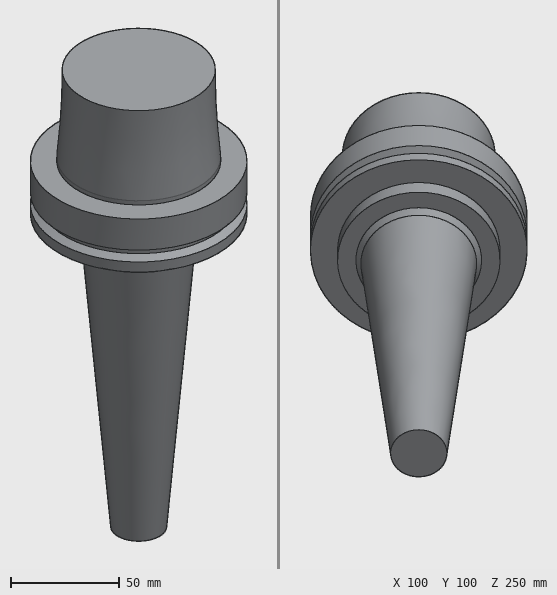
import cadquery as cq

total_height = 250.0
flange_top = 200.0
flange_bottom = flange_top - 29.0
collar_bottom = flange_bottom - 8.2
neck_top = collar_bottom - 3.0

flange_radius = 100.0 / 2
groove_radius = 92.0 / 2
collar_radius = 75.0 / 2
shank_base_radius = 75.8 / 2
shank_top_radius = 70.8 / 2
neck_flare_radius = 58.0 / 2
neck_top_radius = 53.5 / 2
tip_radius = 26.0 / 2

groove_top = flange_top - 17.0
groove_width = 6.5
groove_bottom = groove_top - groove_width
groove_wall_height = 2.0

shank_base_height = 2.2
taper_bottom = flange_top + shank_base_height
taper_height = total_height - taper_bottom
taper_middle = taper_bottom + taper_height / 2
taper_middle_radius = shank_top_radius + (shank_base_radius - shank_top_radius) / 4

half_section = (
    cq.Workplane("XZ")
    .moveTo(0, 0)
    .lineTo(tip_radius, 0)
    .lineTo(neck_top_radius, neck_top)
    .lineTo(neck_flare_radius, collar_bottom)
    .lineTo(collar_radius, collar_bottom)
    .lineTo(collar_radius, flange_bottom)
    .lineTo(flange_radius, flange_bottom)
    .lineTo(flange_radius, groove_bottom)
    .lineTo(groove_radius, groove_bottom + groove_wall_height)
    .lineTo(groove_radius, groove_top - groove_wall_height)
    .lineTo(flange_radius, groove_top)
    .lineTo(flange_radius, flange_top)
    .lineTo(shank_base_radius, flange_top)
    .lineTo(shank_base_radius, taper_bottom)
    .threePointArc((taper_middle_radius, taper_middle), (shank_top_radius, total_height))
    .lineTo(0, total_height)
    .close()
)

result = half_section.revolve(360, (0, 0, 0), (0, 1, 0))